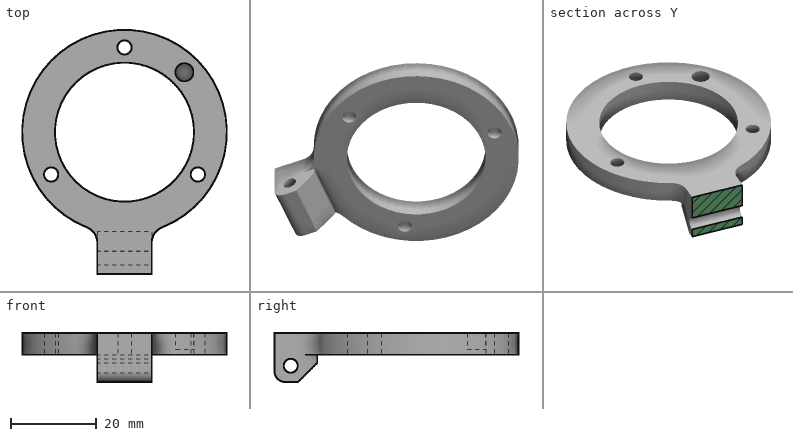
import cadquery as cq
import math

ring_diameter = 47.625
bore_diameter = 32.258
ring_thickness = 5.08
ring_radius = ring_diameter / 2

pitch_radius = 19.685
bolt_hole_diameter = 3.25
bolt_hole_angles = (90, 210, 330)
pocket_diameter = 4.2
pocket_depth = 3.81
pocket_angle = 45

tab_width = 12.7
tab_end_y = -33.02
tab_height = 11.43
neck_fillet_radius = 3.81
selection_margin = 0.1
lug_length = 10.0
lug_chamfer = 4.5
lug_corner_radius = 2.54
pin_hole_diameter = 3.175
pin_offset = 3.81


def polar(radius, angle):
    """Point in the XY plane at a radius and an angle in degrees."""
    return (radius * math.cos(math.radians(angle)), radius * math.sin(math.radians(angle)))


def make_plate():
    """Disc with the flat tab blended into its rim."""
    disc = cq.Workplane("XY").circle(ring_radius).extrude(-ring_thickness)
    tab = (
        cq.Workplane("XY")
        .center(0, tab_end_y / 2)
        .rect(tab_width, -tab_end_y)
        .extrude(-ring_thickness)
    )
    half_width = tab_width / 2
    neck_y = -math.sqrt(ring_radius**2 - half_width**2)
    neck_edges = cq.selectors.BoxSelector(
        (-half_width - selection_margin, neck_y - selection_margin, -ring_thickness),
        (half_width + selection_margin, neck_y + selection_margin, 0),
    )
    return disc.union(tab).edges("|Z").edges(neck_edges).fillet(neck_fillet_radius)


def make_lug():
    """Block under the tab end, with a sloped inner corner and a rounded outer one."""
    lug_inner_y = tab_end_y + lug_length
    return (
        cq.Workplane("YZ")
        .moveTo(tab_end_y, 0)
        .lineTo(lug_inner_y, 0)
        .lineTo(lug_inner_y, lug_chamfer - tab_height)
        .lineTo(lug_inner_y - lug_chamfer, -tab_height)
        .lineTo(tab_end_y + lug_corner_radius, -tab_height)
        .radiusArc((tab_end_y, lug_corner_radius - tab_height), lug_corner_radius)
        .close()
        .extrude(tab_width / 2, both=True)
    )


def make_bore():
    """Central opening through the ring."""
    return cq.Workplane("XY").circle(bore_diameter / 2).extrude(-ring_thickness)


def make_bolt_holes():
    """Three equally spaced through holes."""
    centres = [polar(pitch_radius, angle) for angle in bolt_hole_angles]
    return (
        cq.Workplane("XY")
        .pushPoints(centres)
        .circle(bolt_hole_diameter / 2)
        .extrude(-ring_thickness)
    )


def make_pocket():
    """Blind round pocket in the top face."""
    centre = polar(pitch_radius, pocket_angle)
    return cq.Workplane("XY").center(*centre).circle(pocket_diameter / 2).extrude(-pocket_depth)


def make_pin_hole():
    """Hinge pin hole across the lug, along X."""
    return (
        cq.Workplane("YZ")
        .center(tab_end_y + pin_offset, pin_offset - tab_height)
        .circle(pin_hole_diameter / 2)
        .extrude(tab_width / 2, both=True)
    )


result = (
    make_plate()
    .union(make_lug())
    .cut(make_bore())
    .cut(make_bolt_holes())
    .cut(make_pocket())
    .cut(make_pin_hole())
    .solids()
)